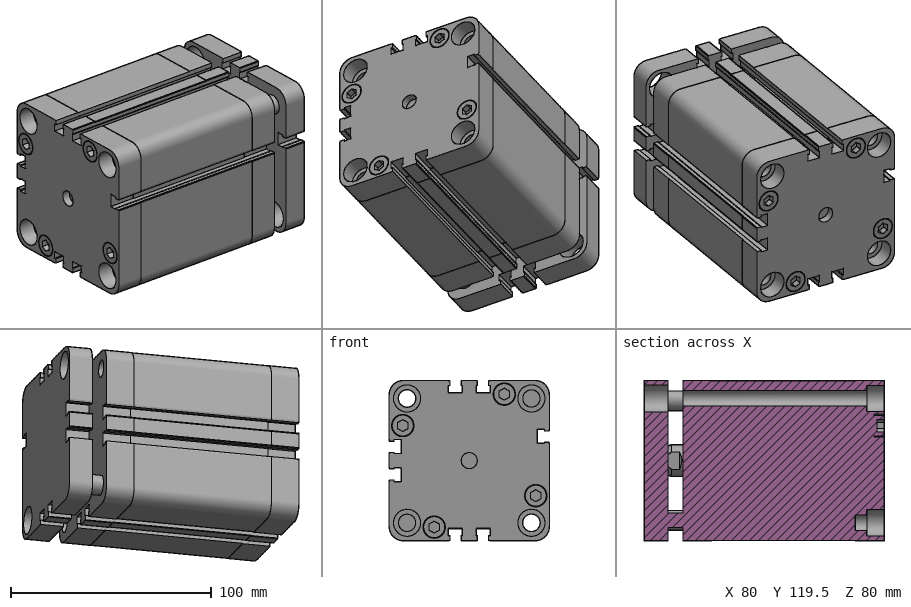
import cadquery as cq

side = 80.0
barrel_inset = 0.18
length = 119.5
cap_length = 14.3
plate_thickness = 12.0
rod_gap = 7.3
embed = 2.4

barrel_side = side - 2 * barrel_inset
plate_start = length - plate_thickness
housing_length = plate_start - rod_gap
barrel_length = housing_length - 2 * cap_length

cap_corner_radius = 7.3
barrel_corner_radius = 6.7

mouth_inner, mouth_outer = 4.1, 9.6
groove_inner, groove_outer = 3.6, 10.4
lip_depth = 2.6
barrel_slot_depth = 6.0
cap_slot_depth = 6.3
bevel_depth = 0.2
side_slot_shift = 5.1

mount_offset = 31.0
mount_bore, mount_bore_depth = 13.5, 8.6
mount_hole = 8.6
blind_hole_depth = cap_length
access_hole = 14.0

screw_far, screw_near = 33.1, 17.5
screw_pocket, screw_pocket_depth = 11.1, 5.0
screw_head = 10.5
socket_across_corners, socket_depth = 6.0, 3.6

centre_hole, centre_hole_depth = 8.0, 4.2

guide_offset = 29.8
guide_diameter = 10.0

rod_diameter = 16.0
rod_across_flats = 13.5
rod_flat_length = 5.5
rod_chamfer_radial, rod_chamfer_length = 0.6, 1.7


def cylinder(diameter, x, z, start, end):
    """Round bar along Y between two positions."""
    return cq.Workplane("XZ", origin=(x, start, z)).circle(diameter / 2).extrude(start - end)


def slot(top, depth, start, end):
    """T-slot in a top face at the given height, right of the centre line, with bevelled mouth edges."""
    bevel_bottom = top - bevel_depth
    lip_bottom = side / 2 - lip_depth
    floor = side / 2 - depth
    outline = [
        (groove_inner, top),
        (mouth_inner, bevel_bottom),
        (mouth_inner, lip_bottom),
        (groove_inner, lip_bottom),
        (groove_inner, floor),
        (groove_outer, floor),
        (groove_outer, lip_bottom),
        (mouth_outer, lip_bottom),
        (mouth_outer, bevel_bottom),
        (groove_outer, top),
    ]
    return cq.Workplane("XZ", origin=(0, start, 0)).polyline(outline).close().extrude(start - end)


def turn(body, angle):
    """Turn a body clockwise about the cylinder axis, as seen from the closed end."""
    return body.rotate((0, 0, 0), (0, 1, 0), angle)


def slotted_block(start, end, width, corner_radius, slot_depth):
    """Rounded square block with slot pairs on top, bottom and -X, and one slot on +X."""
    block = (
        cq.Workplane("XZ", origin=(0, start, 0))
        .rect(width, width)
        .extrude(start - end)
        .edges("|Y")
        .fillet(corner_radius)
    )
    right_slot = slot(width / 2, slot_depth, start, end)
    pair = right_slot.union(right_slot.mirror("YZ"))
    for angle in (0, 180, 270):
        block = block.cut(turn(pair, angle))
    lone_slot = turn(right_slot.mirror("YZ").translate((-side_slot_shift, 0, 0)), 90)
    return block.cut(lone_slot)


def piston_rod():
    """Rod end with two wrench flats, a chamfered tip and 45 degree run-outs."""
    radius = rod_diameter / 2
    profile = [
        (0, housing_length - embed),
        (radius, housing_length - embed),
        (radius, plate_start - rod_chamfer_length),
        (radius - rod_chamfer_radial, plate_start),
        (radius - rod_chamfer_radial, plate_start + embed),
        (0, plate_start + embed),
    ]
    rod = cq.Workplane("XY").polyline(profile).close().revolve(360, (0, 0, 0), (0, 1, 0))
    flat = rod_across_flats / 2
    flat_end = plate_start - rod_flat_length
    run_out = radius - flat
    flat_cut = (
        cq.Workplane("XY")
        .polyline([
            (flat, plate_start),
            (flat, flat_end),
            (flat + run_out, flat_end - run_out),
            (flat + run_out, plate_start),
        ])
        .close()
        .extrude(radius, both=True)
    )
    return rod.cut(flat_cut).cut(flat_cut.mirror("YZ"))


barrel_end = cap_length + barrel_length
housing = slotted_block(0, cap_length, side, cap_corner_radius, cap_slot_depth)
barrel = slotted_block(cap_length, barrel_end, barrel_side, barrel_corner_radius, barrel_slot_depth)
housing = housing.union(barrel)
housing = housing.union(slotted_block(barrel_end, housing_length, side, cap_corner_radius, cap_slot_depth))

plate = slotted_block(plate_start, length, side, cap_corner_radius, cap_slot_depth)

for x_sign in (-1, 1):
    for z_sign in (-1, 1):
        x = x_sign * mount_offset
        z = z_sign * mount_offset
        housing = housing.cut(cylinder(mount_bore, x, z, 0, mount_bore_depth))
        if x_sign == z_sign:
            housing = housing.cut(cylinder(mount_hole, x, z, 0, blind_hole_depth))
        else:
            housing = housing.cut(cylinder(mount_hole, x, z, 0, housing_length))
            plate = plate.cut(cylinder(access_hole, x, z, plate_start, length))

housing = housing.cut(cylinder(centre_hole, 0, 0, 0, centre_hole_depth))

screw_places = [
    (-screw_far, screw_near),
    (screw_far, -screw_near),
    (screw_near, screw_far),
    (-screw_near, -screw_far),
]
for x, z in screw_places:
    socket = (
        cq.Workplane("XZ", origin=(x, 0, z))
        .transformed(rotate=(0, 0, 90))
        .polygon(6, socket_across_corners)
        .extrude(-socket_depth)
    )
    head = cylinder(screw_head, x, z, 0, screw_pocket_depth).cut(socket)
    housing = housing.cut(cylinder(screw_pocket, x, z, 0, screw_pocket_depth)).union(head)

result = housing.union(plate).union(piston_rod())
for sign in (-1, 1):
    guide = cylinder(
        guide_diameter, sign * guide_offset, sign * guide_offset,
        housing_length - embed, plate_start + embed,
    )
    result = result.union(guide)